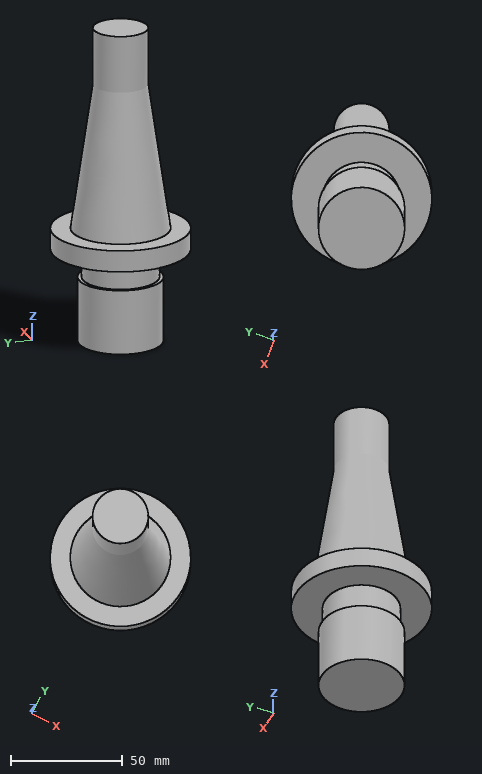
import cadquery as cq

nut_diameter = 38.6
neck_diameter = 35.0
flange_diameter = 63.0
taper_base_diameter = 45.0
shank_diameter = 25.0

total_height = 148.4
nut_height = 30.3
neck_height = 13.2
flange_height = 10.0
taper_height = 68.4
shank_height = total_height - nut_height - neck_height - flange_height - taper_height


def add_section(body, bottom_diameter, height, top_diameter=None):
    """Stack a cylinder, or a cone if a top diameter is given, on the top face of the body."""
    section = body.faces(">Z").workplane(origin=(0, 0, 0)).circle(bottom_diameter / 2)
    if top_diameter is None:
        return section.extrude(height)
    return section.workplane(offset=height).circle(top_diameter / 2).loft(combine=True)


result = cq.Workplane("XY").circle(nut_diameter / 2).extrude(nut_height)
result = add_section(result, neck_diameter, neck_height)
result = add_section(result, flange_diameter, flange_height)
result = add_section(result, taper_base_diameter, taper_height, shank_diameter)
result = add_section(result, shank_diameter, shank_height)